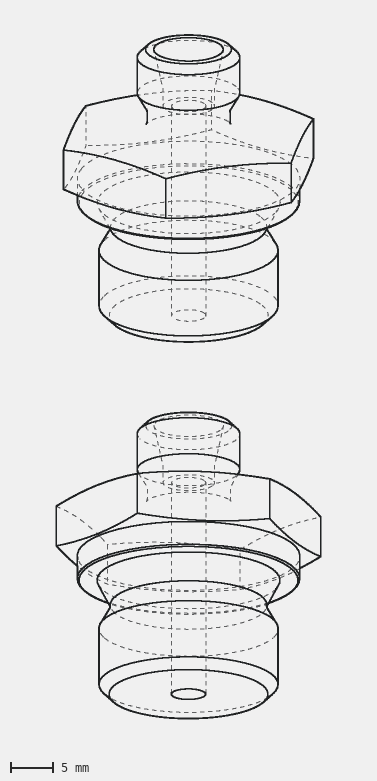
import cadquery as cq
import math

hex_across_flats = 27.0
hex_height = 6.0
hex_bevel_angle = 15.0
hex_bottom = 17.0
hex_top = hex_bottom + hex_height
hex_corner_radius = hex_across_flats / math.sqrt(3)

collar_radius = 26.0 / 2
collar_height = 3.0
collar_chamfer = 0.2
collar_bottom = hex_bottom - collar_height

stud_radius = 20.95 / 2
stud_chamfer = 1.2
stud_shoulder_height = 8.1
groove_radius = 9.15
groove_round = 2.1
flare_radius = 10.7

total_height = 33.0
nose_radius = 12.0 / 2
nose_chamfer = 1.0
nose_shoulder_height = 27.6
neck_radius = 9.7 / 2
neck_round = 1.0
neck_foot_fillet = 0.95

shoulder_angle = math.radians(30)

bore_radius = 4.0 / 2
socket_radius = 6.0 / 2
socket_mouth_radius = 8.12 / 2
socket_depth = 7.0
socket_half_angle = math.radians(12)


def rounded_shoulder(shoulder_height, outer_radius, inner_radius, rounding, direction):
    """Ends of the sloping shoulder and of the arc that blends it into the narrow part.

    direction is +1 when the narrow part lies above the shoulder, -1 when below.
    Returns slope end, arc middle and arc end as (radius, height).
    """
    def arc_inset(angle):
        return rounding * (1 - math.cos(angle))

    slope_end_radius = inner_radius + arc_inset(shoulder_angle)
    slope_height = (outer_radius - slope_end_radius) / math.tan(shoulder_angle)
    slope_end = shoulder_height + direction * slope_height
    arc_end = slope_end + direction * rounding * math.sin(shoulder_angle)
    middle_angle = shoulder_angle / 2
    arc_middle = arc_end - direction * rounding * math.sin(middle_angle)
    return (
        (slope_end_radius, slope_end),
        (inner_radius + arc_inset(middle_angle), arc_middle),
        (inner_radius, arc_end),
    )


def revolve_profile(profile):
    """Revolve a closed (radius, height) profile around Z."""
    return profile.close().revolve(360, (0, 0, 0), (0, 1, 0))


def lower_body():
    slope_end, arc_middle, arc_end = rounded_shoulder(
        stud_shoulder_height, stud_radius, groove_radius, groove_round, 1
    )
    return revolve_profile(
        cq.Workplane("XZ")
        .moveTo(0, 0)
        .lineTo(stud_radius - stud_chamfer, 0)
        .lineTo(stud_radius, stud_chamfer)
        .lineTo(stud_radius, stud_shoulder_height)
        .lineTo(*slope_end)
        .threePointArc(arc_middle, arc_end)
        .lineTo(flare_radius, collar_bottom)
        .lineTo(collar_radius - collar_chamfer, collar_bottom)
        .lineTo(collar_radius, collar_bottom + collar_chamfer)
        .lineTo(collar_radius, hex_bottom)
        .lineTo(0, hex_bottom)
    )


def hexagon():
    prism = (
        cq.Workplane("XY", origin=(0, 0, hex_bottom))
        .polygon(6, 2 * hex_corner_radius)
        .extrude(hex_height)
        .rotate((0, 0, 0), (0, 0, 1), 30)
    )
    face_radius = hex_across_flats / 2
    bevel_drop = (hex_corner_radius - face_radius) * math.tan(math.radians(hex_bevel_angle))
    bevel_envelope = revolve_profile(
        cq.Workplane("XZ")
        .moveTo(0, hex_bottom)
        .lineTo(face_radius, hex_bottom)
        .lineTo(hex_corner_radius, hex_bottom + bevel_drop)
        .lineTo(hex_corner_radius, hex_top - bevel_drop)
        .lineTo(face_radius, hex_top)
        .lineTo(0, hex_top)
    )
    return prism.intersect(bevel_envelope)


def upper_stud():
    slope_end, arc_middle, arc_end = rounded_shoulder(
        nose_shoulder_height, nose_radius, neck_radius, neck_round, -1
    )
    foot_middle_inset = neck_foot_fillet * (1 - math.sqrt(0.5))
    return revolve_profile(
        cq.Workplane("XZ")
        .moveTo(0, hex_top)
        .lineTo(neck_radius + neck_foot_fillet, hex_top)
        .threePointArc(
            (neck_radius + foot_middle_inset, hex_top + foot_middle_inset),
            (neck_radius, hex_top + neck_foot_fillet),
        )
        .lineTo(*arc_end)
        .threePointArc(arc_middle, slope_end)
        .lineTo(nose_radius, nose_shoulder_height)
        .lineTo(nose_radius, total_height - nose_chamfer)
        .lineTo(nose_radius - nose_chamfer, total_height)
        .lineTo(0, total_height)
    )


def bore():
    cone_depth = (socket_mouth_radius - socket_radius) / math.tan(socket_half_angle)
    socket_floor = total_height - socket_depth
    return revolve_profile(
        cq.Workplane("XZ")
        .moveTo(0, 0)
        .lineTo(bore_radius, 0)
        .lineTo(bore_radius, socket_floor)
        .lineTo(socket_radius, socket_floor)
        .lineTo(socket_radius, total_height - cone_depth)
        .lineTo(socket_mouth_radius, total_height)
        .lineTo(0, total_height)
    )


result = lower_body().union(hexagon()).union(upper_stud()).cut(bore())